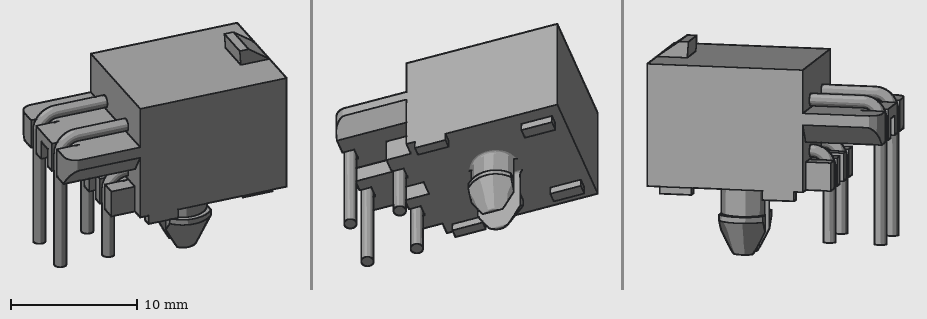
import cadquery as cq


body_size = 9.85
body_length = 12.66
half_width = body_size / 2

latch_width = 3.05
latch_height = 1.28
latch_crest_rear = 10.85
latch_crest_front = 10.08
latch_base_front = 10.17

lead_diameter = 1.0
lead_radius = lead_diameter / 2
lead_pitch = 4.16
lead_bend_radius = 1.41
lead_bottom = -4.43
upper_lead_height = 6.99
lower_lead_height = 2.88

shelf_length = 6.18
shelf_top = 6.37
shelf_bottom = 3.88
shelf_corner_radius = 1.02
shelf_bevel_height = 1.55
block_length = 2.03
block_top = 2.26
block_half_width = 3.86
lead_edge_rounding = 0.95

channel_width = 1.3
channel_center = 0.065
channel_top = 5.45

foot_height = 0.75
foot_length = 2.56
outer_foot_width = 0.75
inner_foot_width = 0.85
inner_foot_outside = 3.94
front_foot_start = 0.72
rear_foot_start = 9.3

peg_center = 5.8
peg_radius = 1.94
peg_half_length = 1.79
peg_gap = 1.55
peg_bottom = -5.95
barb_radius = 2.35
barb_top = -2.7
cone_top = -3.17
cone_end_radius = 1.1
peg_root_fillet = 0.2
peg_tip_fillet = 0.13


def box(x_range, y_range, z_range):
    """Axis-aligned box between the given limits."""
    sizes = [high - low for low, high in (x_range, y_range, z_range)]
    corner = (x_range[0], y_range[0], z_range[0])
    return cq.Workplane("XY").box(*sizes, centered=False).translate(corner)


def make_latch():
    """Ramp centred on the housing top, with a slightly undercut front."""
    profile = [
        (body_length, body_size),
        (latch_crest_rear, body_size + latch_height),
        (latch_crest_front, body_size + latch_height),
        (latch_base_front, body_size),
    ]
    return cq.Workplane("YZ").polyline(profile).close().extrude(latch_width / 2, both=True)


def make_shelf():
    """Shelf with rounded front corners and bevelled lower sides."""
    bevel_inside = half_width - shelf_corner_radius
    section = [
        (-half_width, shelf_top),
        (half_width, shelf_top),
        (half_width, shelf_bottom + shelf_bevel_height),
        (bevel_inside, shelf_bottom),
        (-bevel_inside, shelf_bottom),
        (-half_width, shelf_bottom + shelf_bevel_height),
    ]
    shelf = cq.Workplane("XZ").polyline(section).close().extrude(shelf_length)
    outline = (
        box((-half_width, half_width), (-shelf_length, 0), (shelf_bottom, shelf_top))
        .edges("|Z and <Y")
        .fillet(shelf_corner_radius)
    )
    return shelf.intersect(outline)


def make_lead_slot(front, top, bottom):
    """Slot open at the front, whose rear top edge is rounded under the lead bend."""
    rear = -front + lead_diameter
    return (
        cq.Workplane("YZ")
        .moveTo(-front, bottom)
        .lineTo(rear, bottom)
        .lineTo(rear, top - lead_edge_rounding)
        .radiusArc((rear + lead_edge_rounding, top), lead_edge_rounding)
        .lineTo(-front, top)
        .close()
        .extrude(lead_radius, both=True)
    )


def make_peg_half():
    """Half of the snap peg on the +X side of the gap, centred on the peg axis."""
    profile = [
        (0, 0),
        (peg_radius, 0),
        (peg_radius, barb_top),
        (barb_radius, barb_top),
        (barb_radius, cone_top),
        (cone_end_radius, peg_bottom),
        (0, peg_bottom),
    ]
    peg = cq.Workplane("XZ").polyline(profile).close().revolve(360, (0, 0, 0), (0, 1, 0))
    keep = box((peg_gap / 2, barb_radius), (-peg_half_length, peg_half_length), (peg_bottom, 0))
    return peg.intersect(keep).faces("<Z").edges().fillet(peg_tip_fillet)


def make_feet():
    """Outer feet at the front and inner feet at the rear, on both sides."""
    foot_z = (-foot_height, 0)
    front_y = (front_foot_start, front_foot_start + foot_length)
    rear_y = (rear_foot_start, rear_foot_start + foot_length)
    outer = box((half_width - outer_foot_width, half_width), front_y, foot_z)
    inner = box((inner_foot_outside - inner_foot_width, inner_foot_outside), rear_y, foot_z)
    feet = outer.add(inner)
    return feet.add(feet.mirror("YZ"))


def make_housing():
    """Housing with its peg, lead supports, latch and feet as one solid."""
    housing = box((-half_width, half_width), (0, body_length), (0, body_size))

    peg_half = make_peg_half().translate((0, peg_center, 0))
    housing = housing.union(peg_half).union(peg_half.mirror("YZ"))
    root = cq.selectors.BoxSelector(
        (-barb_radius, peg_center - barb_radius, -peg_root_fillet / 2),
        (barb_radius, peg_center + barb_radius, peg_root_fillet / 2),
    )
    housing = housing.edges(root).fillet(peg_root_fillet)

    blocks = box((-block_half_width, block_half_width), (-block_length, 0), (0, block_top))
    housing = housing.union(make_shelf()).union(blocks)
    channel_x = (channel_center - channel_width / 2, channel_center + channel_width / 2)
    housing = housing.cut(box(channel_x, (-shelf_length, 0), (0, channel_top)))
    for side in (-1, 1):
        for front, top, bottom in (
            (shelf_length, shelf_top, shelf_bottom),
            (block_length, block_top, 0),
        ):
            slot = make_lead_slot(front, top, bottom)
            housing = housing.cut(slot.translate((side * lead_pitch / 2, 0, 0)))

    housing = housing.union(make_latch())
    for foot in make_feet().vals():
        housing = housing.union(cq.Workplane(foot))
    return housing


def make_lead(height, front):
    """Lead from the housing face, flush at Y = -front after its downward bend."""
    drop_y = -front + lead_radius
    path = (
        cq.Workplane("YZ")
        .moveTo(0, height)
        .lineTo(drop_y + lead_bend_radius, height)
        .radiusArc((drop_y, height - lead_bend_radius), -lead_bend_radius)
        .lineTo(drop_y, lead_bottom)
    )
    return cq.Workplane("XZ", origin=(0, 0, height)).circle(lead_radius).sweep(path)


housing = make_housing()
leads = []
for side in (-1, 1):
    for height, front in ((upper_lead_height, shelf_length), (lower_lead_height, block_length)):
        lead = make_lead(height, front).translate((side * lead_pitch / 2, 0, 0))
        leads.append(lead.val())

result = cq.Compound.makeCompound([housing.solids().val(), *leads])